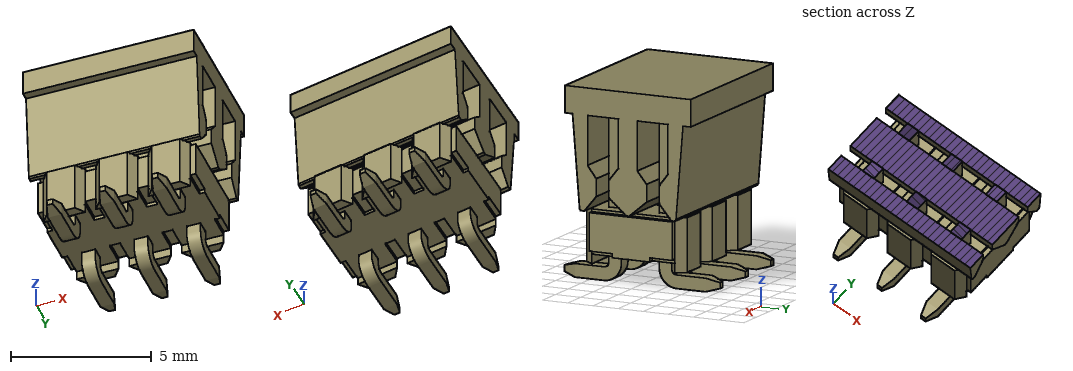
import cadquery as cq
import math


column_count = 3
pitch = 2.0
column_xs = [(i - (column_count - 1) / 2) * pitch for i in range(column_count)]
row_y = pitch / 2

total_height = 7.2
plate_thickness = 1.0
plate_bottom_z = total_height - plate_thickness
seat_z = 2.7
post_bottom_z = 0.7

pin_width = 0.52
pin_thickness = 0.5
foot_end_y = 3.1
foot_taper_length = 0.5
foot_tip_width = 0.22
bend_inner_radius = 0.2
bend_outer_radius = bend_inner_radius + pin_thickness
pin_inner_y = row_y - pin_thickness / 2
pin_outer_y = row_y + pin_thickness / 2

bar_length = 6.0
bar_half_width = 1.65
bar_bottom_z = 1.05
bar_top_z = 2.6
notch_height = 0.15
post_half_width = 2.0
post_base_width = 1.6
post_face_width = 1.07

cap_length = 6.5
plate_width = 5.0
skirt_top_y = 2.2
skirt_low_y = 1.92
skirt_bottom_y = 1.88
skirt_tip_y = 1.73
skirt_edge_height = 0.07
slot_inner_y = 0.38
slot_outer_y = 1.6
pinch_ramp_z = 4.38
pinch_top_z = 3.93
pinch_bottom_z = 3.28
rib_tip_half_width = 0.06


def mirrored(half_outline):
    """Complete an outline in YZ from its +Y half, listed bottom to top."""
    return half_outline + [(-y, z) for y, z in reversed(half_outline)]


def make_cap():
    """Flat pick-up plate with two outer skirts and a middle rib gripping the pins."""
    outline = mirrored([
        (skirt_bottom_y, seat_z),
        (skirt_low_y, seat_z + skirt_edge_height),
        (skirt_top_y, plate_bottom_z),
        (plate_width / 2, plate_bottom_z),
        (plate_width / 2, total_height),
    ])
    slot = [
        (rib_tip_half_width, seat_z),
        (pin_inner_y, pinch_bottom_z),
        (pin_inner_y, pinch_top_z),
        (slot_inner_y, pinch_ramp_z),
        (slot_inner_y, plate_bottom_z),
        (slot_outer_y, plate_bottom_z),
        (slot_outer_y, pinch_ramp_z),
        (pin_outer_y, pinch_top_z),
        (pin_outer_y, pinch_bottom_z),
        (skirt_tip_y, seat_z),
    ]
    profile_plane = cq.Workplane("YZ", origin=(-cap_length / 2, 0, 0))
    cap = profile_plane.polyline(outline).close().extrude(cap_length)
    slot_cut = profile_plane.polyline(slot).close().extrude(cap_length)
    return cap.cut(slot_cut).cut(slot_cut.mirror("XZ"))


def box_between(x_size, y_min, y_max, z_min, z_max):
    """Box centred on X, with the given limits along Y and Z."""
    return (
        cq.Workplane("XY", origin=(0, (y_min + y_max) / 2, z_min))
        .rect(x_size, y_max - y_min)
        .extrude(z_max - z_min)
    )


def make_post_block():
    """Block across the insulator at one pin column, with a tapered post at each end."""
    half_base = post_base_width / 2
    half_face = post_face_width / 2
    footprint = [
        (half_face, -post_half_width),
        (half_base, -bar_half_width),
        (half_base, bar_half_width),
        (half_face, post_half_width),
        (-half_face, post_half_width),
        (-half_base, bar_half_width),
        (-half_base, -bar_half_width),
        (-half_face, -post_half_width),
    ]
    block = (
        cq.Workplane("XY", origin=(0, 0, post_bottom_z))
        .polyline(footprint)
        .close()
        .extrude(seat_z - post_bottom_z)
    )
    return block.cut(
        box_between(post_base_width, -bar_half_width, bar_half_width, post_bottom_z, bar_bottom_z)
    )


def make_insulator():
    """Bar with notched lower edges, crossed by the post blocks and bored for the pins."""
    bar = box_between(bar_length, -bar_half_width, bar_half_width, bar_bottom_z, bar_top_z)
    notch = box_between(
        bar_length, pin_inner_y, bar_half_width, bar_bottom_z, bar_bottom_z + notch_height
    )
    insulator = bar.cut(notch).cut(notch.mirror("XZ"))
    for x in column_xs:
        insulator = insulator.union(make_post_block().translate((x, 0, 0)))
    pin_holes = (
        cq.Workplane("XY", origin=(0, 0, post_bottom_z))
        .rarray(pitch, 2 * row_y, column_count, 2)
        .rect(pin_width, pin_thickness)
        .extrude(seat_z - post_bottom_z)
    )
    return insulator.cut(pin_holes)


def make_pin():
    """Pin standing at x = 0 in the +Y row, its foot bent outward and tapered."""
    bend_y = pin_outer_y + bend_inner_radius
    bend_z = pin_thickness + bend_inner_radius
    foot_flat_end_y = foot_end_y - foot_taper_length
    diagonal = math.sqrt(0.5)
    shank = (
        cq.Workplane("YZ", origin=(-pin_width / 2, 0, 0))
        .moveTo(pin_inner_y, plate_bottom_z)
        .lineTo(pin_inner_y, bend_z)
        .threePointArc(
            (bend_y - bend_outer_radius * diagonal, bend_z - bend_outer_radius * diagonal),
            (bend_y, 0),
        )
        .lineTo(foot_flat_end_y, 0)
        .lineTo(foot_flat_end_y, pin_thickness)
        .lineTo(bend_y, pin_thickness)
        .threePointArc(
            (bend_y - bend_inner_radius * diagonal, bend_z - bend_inner_radius * diagonal),
            (pin_outer_y, bend_z),
        )
        .lineTo(pin_outer_y, plate_bottom_z)
        .close()
        .extrude(pin_width)
    )
    tip = (
        cq.Workplane("XZ", origin=(0, foot_flat_end_y, pin_thickness / 2))
        .rect(pin_width, pin_thickness)
        .workplane(offset=-foot_taper_length)
        .rect(foot_tip_width, foot_tip_width)
        .loft(ruled=True)
    )
    return shank.union(tip)


cap = make_cap()
insulator = make_insulator()

pins = []
for x in column_xs:
    back_pin = make_pin().translate((x, 0, 0))
    front_pin = back_pin.mirror("XZ")
    pins += [back_pin.val(), front_pin.val()]

result = cq.Compound.makeCompound([cap.val(), insulator.val(), *pins])